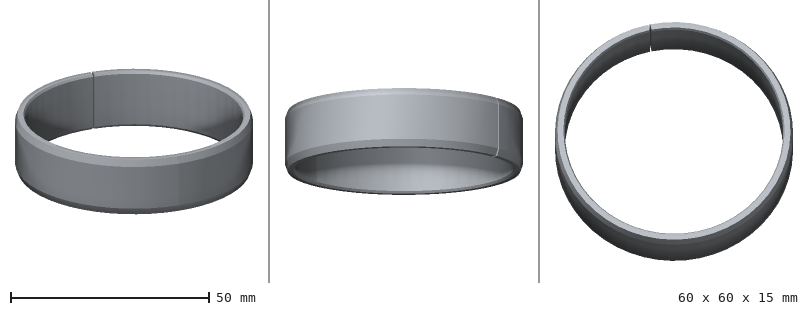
import cadquery as cq

outer_diameter = 60.0
inner_diameter = 55.0
height = 15.0

outer_chamfer_width = 0.65
outer_chamfer_height = 1.8
inner_chamfer_width = 0.35
inner_chamfer_height = 0.6

split_width = 0.5
split_start_y = 0.0

outer_radius = outer_diameter / 2
inner_radius = inner_diameter / 2
half_height = height / 2


def ring_body():
    """Revolve the chamfered wall section about the Z axis."""
    upper_half = [
        (inner_radius, half_height - inner_chamfer_height),
        (inner_radius + inner_chamfer_width, half_height),
        (outer_radius - outer_chamfer_width, half_height),
        (outer_radius, half_height - outer_chamfer_height),
    ]
    lower_half = [(radius, -z) for radius, z in reversed(upper_half)]
    section = cq.Workplane("XZ").polyline(upper_half + lower_half).close()
    return section.revolve(360, (0, 0, 0), (0, 1, 0))


def split_cutter():
    """Slot running from the ring centre out through the -X wall."""
    return (
        cq.Workplane("XY")
        .box(outer_diameter, split_width, height, centered=(True, False, True))
        .translate((-outer_radius, split_start_y, 0))
    )


result = ring_body().cut(split_cutter())